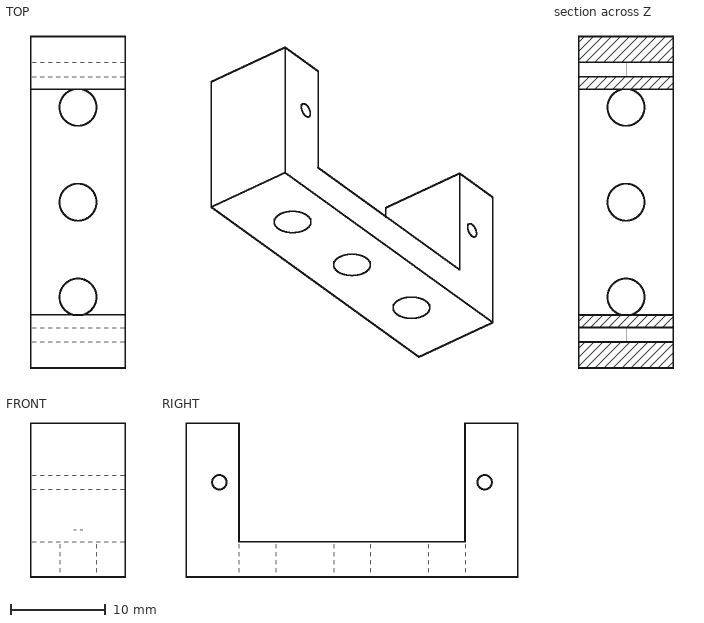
import cadquery as cq

width = 10.0
length = 35.0
height = 16.25

floor_thickness = 3.75
wall_thickness = 5.6
gap_length = length - 2 * wall_thickness

floor_hole_diameter = 3.9
floor_hole_spacing = 10.0
floor_hole_height = 5.0

wall_hole_diameter = 1.5
wall_hole_offset = 14.0
wall_hole_height = 10.0


def make_body():
    """U-shaped block, centred in X and Y and standing on Z = 0."""
    block = cq.Workplane("XY").box(width, length, height, centered=(True, True, False))
    gap = (
        cq.Workplane("XY")
        .workplane(offset=floor_thickness)
        .box(width, gap_length, height, centered=(True, True, False))
    )
    return block.cut(gap)


def make_floor_holes():
    """Row of three vertical cylinders, ending a little above the floor."""
    return (
        cq.Workplane("XY")
        .rarray(0.35, floor_hole_spacing, 1, 3)
        .circle(floor_hole_diameter / 2)
        .extrude(floor_hole_height)
    )


def make_wall_holes():
    """Pair of cylinders crossing the walls along X."""
    centres = [(-wall_hole_offset, wall_hole_height), (wall_hole_offset, wall_hole_height)]
    return (
        cq.Workplane("YZ")
        .pushPoints(centres)
        .circle(wall_hole_diameter / 2)
        .extrude(width / 2, both=True)
    )


result = make_body().cut(make_floor_holes()).cut(make_wall_holes())